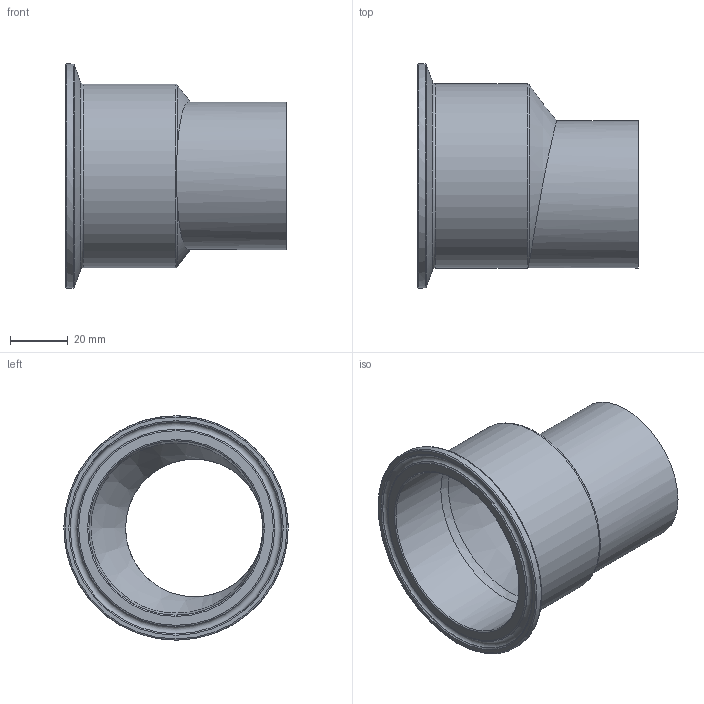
import cadquery as cq
import math

total_length = 76.2
outer_cone_start = 38.3
inner_cone_start = 23.9
cone_end = 48.0

large_diameter = 63.5
large_bore = 60.2
small_diameter = 50.8
small_bore = 47.5

flange_diameter = 77.39
rim_width = 2.85
flange_back_angle = 20.0
rim_round = 0.4
flange_root_round = 1.1
bore_mouth_round = 0.4

groove_diameter = 70.6
groove_mouth_width = 3.4
groove_depth = 1.3
groove_edge_round = 0.5

outer_bend_round = 0.9
inner_bend_round = 6.35

large_radius = large_diameter / 2
large_bore_radius = large_bore / 2
small_radius = small_diameter / 2
small_bore_radius = small_bore / 2
flange_radius = flange_diameter / 2

offset = large_radius - small_radius
far_side_radius = small_radius - offset
far_side_bore_radius = small_bore_radius - offset
outer_slope = (large_radius - far_side_radius) / (cone_end - outer_cone_start)
inner_slope = (large_bore_radius - far_side_bore_radius) / (cone_end - inner_cone_start)

cone_tip_radius = far_side_radius / 2

flange_height = flange_radius - large_radius
flange_back_end = rim_width + flange_height * math.tan(math.radians(flange_back_angle))


def revolve_about_x(profile):
    """Turn an (x, radius) profile a full revolution around the X axis."""
    return profile.revolve(360, (0, 0, 0), (1, 0, 0))


def round_circle(solid, x, radius, size):
    """Round the circular edge centred on the X axis at the given station."""
    tolerance = 0.01
    box = cq.selectors.BoxSelector(
        (x - tolerance, -radius - tolerance, -radius - tolerance),
        (x + tolerance, radius + tolerance, radius + tolerance),
        boundingbox=True,
    )
    edges = solid.edges(box).edges(cq.selectors.RadiusNthSelector(-1))
    return edges.fillet(size)


def cone_tip_station(start, radius, slope):
    """X at which a cone starting at the given radius narrows to the tip radius."""
    return start + (radius - cone_tip_radius) / slope


def small_cylinder(radius, start):
    """Cylinder on the offset axis, from the given station to the far end."""
    plane = cq.Workplane("YZ", origin=(start, -offset, 0))
    return plane.circle(radius).extrude(total_length - start)


def outer_body():
    """Solid envelope: clamp flange, large tube, cone and offset small tube."""
    tip_station = cone_tip_station(outer_cone_start, large_radius, outer_slope)
    profile = (
        cq.Workplane("XY")
        .moveTo(0, 0)
        .lineTo(0, flange_radius)
        .lineTo(rim_width, flange_radius)
        .lineTo(flange_back_end, large_radius)
        .lineTo(outer_cone_start, large_radius)
        .lineTo(tip_station, cone_tip_radius)
        .lineTo(tip_station, 0)
        .close()
    )
    body = revolve_about_x(profile)
    body = round_circle(body, 0, flange_radius, rim_round)
    body = round_circle(body, rim_width, flange_radius, rim_round)
    body = round_circle(body, flange_back_end, large_radius, flange_root_round)
    body = round_circle(body, outer_cone_start, large_radius, outer_bend_round)
    return body.union(small_cylinder(small_radius, outer_cone_start))


def inner_cavity():
    """Flow passage: large bore, long inner cone and offset small bore."""
    tip_station = cone_tip_station(inner_cone_start, large_bore_radius, inner_slope)
    profile = (
        cq.Workplane("XY")
        .moveTo(0, 0)
        .lineTo(0, large_bore_radius)
        .lineTo(inner_cone_start, large_bore_radius)
        .lineTo(tip_station, cone_tip_radius)
        .lineTo(tip_station, 0)
        .close()
    )
    cavity = revolve_about_x(profile)
    cavity = round_circle(cavity, inner_cone_start, large_bore_radius, inner_bend_round)
    return cavity.union(small_cylinder(small_bore_radius, inner_cone_start))


def gasket_groove():
    """Ring of material removed for the gasket bead."""
    middle = groove_diameter / 2
    half_mouth = groove_mouth_width / 2
    rise = groove_depth - groove_edge_round
    bottom_radius = (half_mouth**2 + rise**2 - groove_edge_round**2) / (2 * groove_depth)
    bottom_centre = groove_depth - bottom_radius
    share = groove_edge_round / (bottom_radius + groove_edge_round)
    tangent_x = groove_edge_round + share * (bottom_centre - groove_edge_round)
    tangent_half_width = half_mouth * (1 - share)
    profile = (
        cq.Workplane("XY")
        .moveTo(0, middle - half_mouth)
        .radiusArc((tangent_x, middle - tangent_half_width), -groove_edge_round)
        .threePointArc((groove_depth, middle), (tangent_x, middle + tangent_half_width))
        .radiusArc((0, middle + half_mouth), -groove_edge_round)
        .close()
    )
    return revolve_about_x(profile)


part = outer_body().cut(inner_cavity()).cut(gasket_groove())
result = round_circle(part, 0, large_bore_radius, bore_mouth_round)